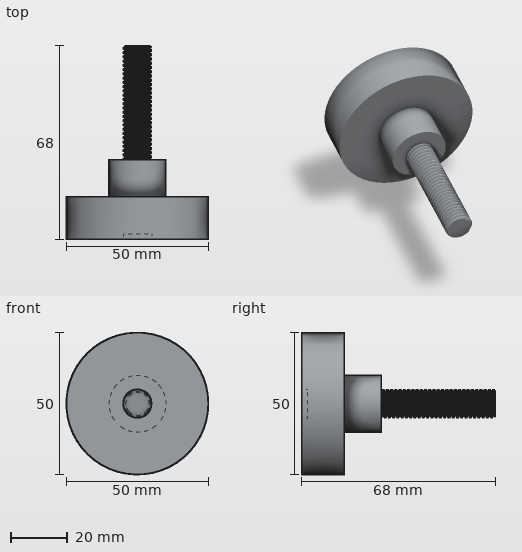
import cadquery as cq
import math

total_length = 68.0
head_length = 15.0
hub_length = 13.0
stud_length = total_length - head_length - hub_length
shoulder = head_length + hub_length

head_diameter = 50.0
hub_diameter = 20.0
recess_diameter = 10.0
recess_depth = 2.0

major_diameter = 9.85
minor_diameter = 8.15
pitch = 1.5
crest_width = 0.35
flank_angle = math.radians(30)
first_crest = 0.95
groove_overlap = 0.1
tip_chamfer = 0.5
overrun_turns = 2


def make_thread_groove():
    """Helical groove cutter around Z, longer than the stud at both ends."""
    root_radius = minor_diameter / 2
    outer_radius = major_diameter / 2 + groove_overlap
    half_mouth = (pitch - crest_width) / 2
    slope = math.tan(flank_angle)
    half_root = half_mouth - (major_diameter / 2 - root_radius) * slope
    half_outer = half_mouth + groove_overlap * slope
    start = shoulder + first_crest - (overrun_turns + 0.5) * pitch
    turns = math.ceil(stud_length / pitch) + 2 * overrun_turns
    profile = [
        (root_radius, -half_root),
        (outer_radius, -half_outer),
        (outer_radius, half_outer),
        (root_radius, half_root),
    ]
    helices = [
        cq.Wire.makeHelix(pitch, turns * pitch, radius, center=cq.Vector(0, 0, start + offset))
        for radius, offset in profile
    ]
    faces = []
    for index, helix in enumerate(helices):
        faces += cq.Face.makeRuledSurface(helices[index - 1], helix).Faces()
    for end in (start, start + turns * pitch):
        corners = [cq.Vector(radius, 0, end + offset) for radius, offset in profile]
        faces.append(cq.Face.makeFromWires(cq.Wire.makePolygon(corners, close=True)))
    return cq.Workplane(cq.Solid.makeSolid(cq.Shell.makeShell(faces)))


def make_stud():
    """Threaded stud, flat at the hub and chamfered at the tip."""
    blank = (
        cq.Workplane("XY", origin=(0, 0, shoulder))
        .circle(major_diameter / 2)
        .extrude(stud_length)
        .faces(">Z")
        .chamfer(tip_chamfer)
    )
    return blank.cut(make_thread_groove())


def make_knob():
    """Round head with its hub and the recess in the front face."""
    head = cq.Workplane("XY").circle(head_diameter / 2).extrude(head_length)
    hub = cq.Workplane("XY").circle(hub_diameter / 2).extrude(shoulder)
    recess = cq.Workplane("XY").circle(recess_diameter / 2).extrude(recess_depth)
    return head.union(hub).cut(recess)


result = make_knob().union(make_stud()).rotate((0, 0, 0), (1, 0, 0), -90)